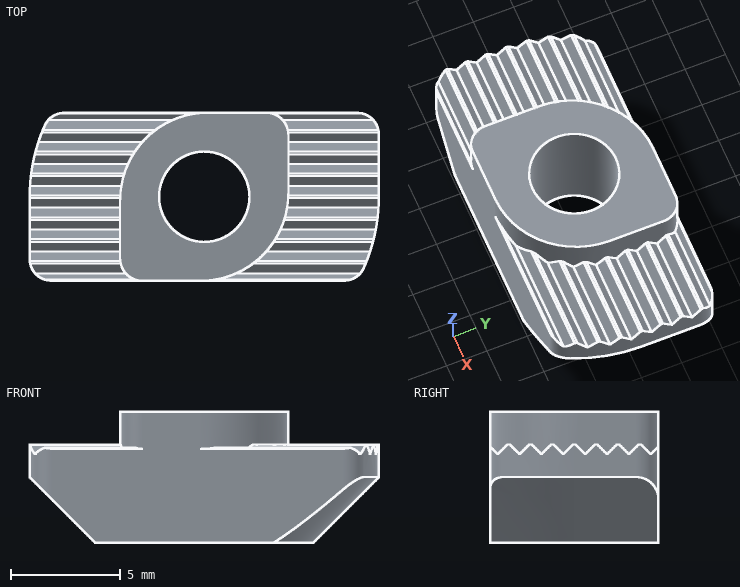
import cadquery as cq
import math

length = 16.0
width = 7.7
height = 6.0
crest_height = 4.5
taper_height = 3.0
corner_radius = 1.0
neck_arc_radius = 4.0
bore_diameter = 4.13

groove_count = 8
groove_span = 7.0
tooth_pitch = groove_span / (groove_count - 1)
crest_flat = 0.12
groove_width = tooth_pitch - crest_flat
groove_depth = groove_width / 2
edge_bevel = 0.05
root_height = crest_height - groove_depth

end_radius = length / 2
half_width = width / 2


def make_end_envelope():
    """Half of the plan turns on the end radius, half stays straight; both taper at 45 degrees."""
    straight = (
        cq.Workplane("XZ")
        .moveTo(taper_height - end_radius, 0)
        .lineTo(end_radius - taper_height, 0)
        .lineTo(end_radius, taper_height)
        .lineTo(end_radius, crest_height)
        .lineTo(-end_radius, crest_height)
        .lineTo(-end_radius, taper_height)
        .close()
        .extrude(half_width, both=True)
    )
    turned = (
        cq.Workplane("XZ")
        .lineTo(end_radius - taper_height, 0)
        .lineTo(end_radius, taper_height)
        .lineTo(end_radius, crest_height)
        .lineTo(0, crest_height)
        .close()
        .revolve(360, (0, 0, 0), (0, 1, 0))
    )
    straight_quadrants = (
        cq.Workplane("XY")
        .pushPoints([(-end_radius / 2, -end_radius / 2), (end_radius / 2, end_radius / 2)])
        .rect(end_radius, end_radius)
        .extrude(crest_height)
    )
    return turned.union(straight.intersect(straight_quadrants))


def make_plan_prism():
    """Rounded plan outline: two end arcs and four blended corners."""
    fillet_y = half_width - corner_radius
    fillet_center_distance = end_radius - corner_radius
    fillet_x = math.sqrt(fillet_center_distance**2 - fillet_y**2)
    blend_scale = end_radius / fillet_center_distance
    blend_x = fillet_x * blend_scale
    blend_y = fillet_y * blend_scale
    straight_x = end_radius - corner_radius
    return (
        cq.Workplane("XY")
        .moveTo(-end_radius, 0)
        .lineTo(-end_radius, -fillet_y)
        .radiusArc((-straight_x, -half_width), -corner_radius)
        .lineTo(fillet_x, -half_width)
        .radiusArc((blend_x, -blend_y), -corner_radius)
        .radiusArc((end_radius, 0), -end_radius)
        .lineTo(end_radius, fillet_y)
        .radiusArc((straight_x, half_width), -corner_radius)
        .lineTo(-fillet_x, half_width)
        .radiusArc((-blend_x, blend_y), -corner_radius)
        .radiusArc((-end_radius, 0), -end_radius)
        .close()
        .extrude(crest_height)
    )


def cut_serrations(body):
    for index in range(groove_count):
        root_y = index * tooth_pitch - groove_span / 2
        groove = (
            cq.Workplane("YZ")
            .moveTo(root_y, root_height)
            .lineTo(root_y + groove_width / 2, crest_height)
            .lineTo(root_y - groove_width / 2, crest_height)
            .close()
            .extrude(end_radius, both=True)
        )
        body = body.cut(groove)
    return body


def bevel_side_edges(body):
    """Break the sharp edge where each outermost groove runs out through a side face."""
    outer_root_y = groove_span / 2
    bevel_top = root_height + half_width - edge_bevel - outer_root_y
    headroom = crest_height - bevel_top
    for side in (-1, 1):
        bevel = (
            cq.Workplane("YZ")
            .moveTo(side * half_width, bevel_top - edge_bevel)
            .lineTo(side * (half_width - edge_bevel - headroom), crest_height)
            .lineTo(side * half_width, crest_height)
            .close()
            .extrude(end_radius, both=True)
        )
        body = body.cut(bevel)
    return body


def make_neck():
    """Square neck with two large and two small rounded corners, diagonally opposed."""
    arc_end = half_width - neck_arc_radius
    fillet_end = half_width - corner_radius
    return (
        cq.Workplane("XY")
        .moveTo(-half_width, arc_end)
        .lineTo(-half_width, -fillet_end)
        .radiusArc((-fillet_end, -half_width), -corner_radius)
        .lineTo(arc_end, -half_width)
        .radiusArc((half_width, -arc_end), -neck_arc_radius)
        .lineTo(half_width, fillet_end)
        .radiusArc((fillet_end, half_width), -corner_radius)
        .lineTo(-arc_end, half_width)
        .radiusArc((-half_width, arc_end), -neck_arc_radius)
        .close()
        .extrude(height - taper_height)
        .translate((0, 0, taper_height))
    )


body = make_plan_prism().intersect(make_end_envelope())
body = bevel_side_edges(cut_serrations(body))
bore = cq.Workplane("XY").circle(bore_diameter / 2).extrude(height)
result = body.union(make_neck()).cut(bore)